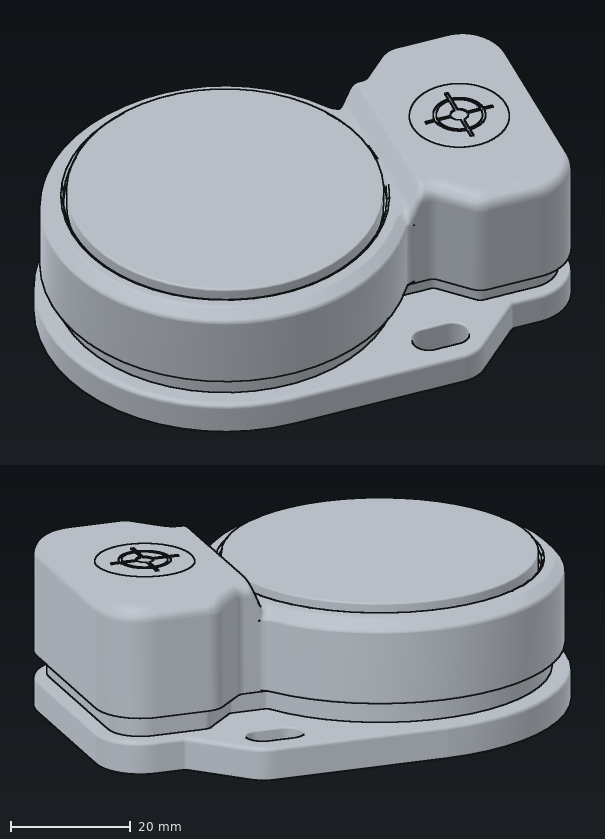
import cadquery as cq
import math


base_top = 6.1
drum_bottom = 10.0
drum_top = 25.0
lens_top = 26.5
block_top = 30.0

overall_length = 88.0
base_radius = 31.99
back_y = overall_length - base_radius
shoulder_corner_y = 33.0
shoulder_corner_radius = 6.0
shoulder_root_radius = 1.0

drum_radius = 31.0
drum_root_radius = 2.0
block_half_width = 22.0
block_back_radius = 8.0
waist_half_width = 16.0
waist_corner_y = 37.05
waist_corner_radius = 4.0
waist_root_radius = 2.0
half_slant = math.radians(45) / 2

slope_top_y = 29.3
slope_foot_y = 27.1

small_round = 0.4
edge_round = 1.0
drum_chamfer = 2.0
block_top_round = 3.0

neck_inset = 2.2
neck_root_radius = 1.0

lens_radius = 26.5
lens_gap = 0.5
insert_depth = 2.0
button_radius = 8.4
button_y = 42.0

mark_depth = 0.3
mark_hole_radius = 1.5
mark_ring_outer = 4.4
mark_ring_inner = 3.9
mark_arm_length = 6.0
mark_arm_width = 0.5

slot_x = 26.0
slot_y = 28.5
slot_width = 5.5
slot_length = 9.9

pick_margin = 0.04


def inside_box(x_range, y_range, z_range):
    """Selector for the edges or faces that lie wholly within the given ranges."""
    low, high = zip(x_range, y_range, z_range)
    return cq.selectors.BoxSelector(
        tuple(value - pick_margin for value in low),
        tuple(value + pick_margin for value in high),
        boundingbox=True,
    )


def round_corner_pair(solid, x, y, radius):
    """Round the vertical edges that stand at plan points (x, y) and (-x, y)."""
    for corner_x in (x, -x):
        corner = inside_box((corner_x, corner_x), (y, y), (0, block_top))
        solid = solid.edges("|Z").edges(corner).fillet(radius)
    return solid


def mirrored_prism(right_side, bottom, top):
    """Extrude the outline made of right-hand points and their mirror images."""
    left_side = [(-x, y) for x, y in reversed(right_side)]
    outline = cq.Workplane().workplane(offset=bottom).polyline(right_side + left_side).close()
    return outline.extrude(top - bottom)


def cylinder(radius, bottom, top, y=0):
    return cq.Workplane().workplane(offset=bottom).center(0, y).circle(radius).extrude(top - bottom)


def block_prism(inset, root_radius, bottom, top):
    """Waisted block with its walls moved in by `inset`; it reaches forward to the drum axis."""
    wide = block_half_width - inset
    narrow = waist_half_width - inset
    back = back_y - inset
    corner_y = waist_corner_y + inset * math.tan(half_slant)
    root_y = corner_y - (wide - narrow)
    right_side = [(narrow, 0), (narrow, root_y), (wide, corner_y), (wide, back)]
    block = mirrored_prism(right_side, bottom, top)
    block = round_corner_pair(block, narrow, root_y, root_radius)
    block = round_corner_pair(block, wide, corner_y, waist_corner_radius - inset)
    return round_corner_pair(block, wide, back, block_back_radius - inset)


def drum_prism(inset, root_radius, bottom, top):
    """Round drum with a stub that runs into the block, blended by a fillet on each side."""
    radius = drum_radius - inset
    narrow = waist_half_width - inset
    stub = mirrored_prism([(narrow, 0), (narrow, waist_corner_y)], bottom, top)
    drum = cylinder(radius, bottom, top).union(stub)
    meeting_y = math.sqrt(radius**2 - narrow**2)
    return round_corner_pair(drum, narrow, meeting_y, root_radius)




def cut_rounded_slot(plate, x):
    """Cut one slot through the plate and round its upper rim."""
    slot = cq.Workplane().center(x, slot_y).slot2D(slot_length, slot_width, 90).extrude(base_top)
    rim = inside_box(
        (x - slot_width / 2, x + slot_width / 2),
        (slot_y - slot_length / 2, slot_y + slot_length / 2),
        (base_top, base_top),
    )
    return plate.cut(slot).edges(rim).fillet(small_round)


def make_base():
    """Plate with a round front, slanted shoulders and a tail under the block."""
    shoulder_root_y = shoulder_corner_y + base_radius - block_half_width
    right_side = [
        (base_radius, 0),
        (base_radius, shoulder_corner_y),
        (block_half_width, shoulder_root_y),
        (block_half_width, back_y),
    ]
    plate = mirrored_prism(right_side, 0, base_top).union(cylinder(base_radius, 0, base_top))
    plate = round_corner_pair(plate, base_radius, shoulder_corner_y, shoulder_corner_radius)
    plate = round_corner_pair(plate, block_half_width, shoulder_root_y, shoulder_root_radius)
    plate = round_corner_pair(plate, block_half_width, back_y, block_back_radius)
    plate = plate.faces(">Z").edges().fillet(edge_round)
    plate = plate.faces("<Z").edges().fillet(small_round)
    for x in (-slot_x, slot_x):
        plate = cut_rounded_slot(plate, x)
    return plate




def make_neck():
    """Inset copy of the housing outline that carries the housing above the base."""
    block = block_prism(neck_inset, neck_root_radius, base_top, drum_bottom)
    return drum_prism(neck_inset, neck_root_radius, base_top, drum_bottom).union(block)




def make_drum():
    """Drum with a rounded lower edge and a chamfered upper edge whose two borders are rounded."""
    drum = drum_prism(0, drum_root_radius, drum_bottom, drum_top)
    drum = drum.faces(">Z").edges().chamfer(drum_chamfer)
    drum = drum.faces("<Z").edges().fillet(small_round)
    for level in (drum_top, drum_top - drum_chamfer):
        border = inside_box((-drum_radius, drum_radius), (-drum_radius, back_y), (level, level))
        drum = drum.edges(border).fillet(edge_round)
    return drum


def make_block():
    """Waisted block with a rounded top and a sloped front face."""
    block = block_prism(0, waist_root_radius, drum_bottom, block_top)
    block = block.faces(">Z").edges("not(<Y)").fillet(block_top_round)

    slope_run = (slope_top_y - slope_foot_y) / (block_top - drum_top)
    bottom_y = slope_top_y - slope_run * (block_top - drum_bottom)
    front = (
        cq.Workplane("YZ")
        .polyline([(0, drum_bottom), (bottom_y, drum_bottom), (slope_top_y, block_top), (0, block_top)])
        .close()
        .extrude(block_half_width, both=True)
    )
    slope = inside_box(
        (-block_half_width, block_half_width), (bottom_y, slope_top_y), (drum_bottom, block_top)
    )
    return block.cut(front).faces(slope).edges("not(<Z)").fillet(edge_round)


def round_slope_foot(housing):
    """Blend the foot of the sloped front face into the top of the drum."""
    foot = inside_box(
        (-waist_half_width, waist_half_width), (slope_foot_y, slope_foot_y), (drum_top, drum_top)
    )
    return housing.edges(foot).fillet(edge_round)


def cut_seat(housing, radius, y, top):
    """Sink a round seat into a level face of the housing and round its rim."""
    seat = cylinder(radius, top - insert_depth, block_top, y)
    rim = inside_box((-radius, radius), (y - radius, y + radius), (top, top))
    return housing.cut(seat).edges(rim).edges("%CIRCLE").fillet(small_round)


def make_housing():
    housing = make_drum().union(make_block())
    housing = round_slope_foot(housing)
    housing = cut_seat(housing, lens_radius + lens_gap, 0, drum_top)
    return cut_seat(housing, button_radius, button_y, block_top)




def make_insert(radius, y, bottom, top):
    """Round disc with a rounded upper edge."""
    return cylinder(radius, bottom, top, y).faces(">Z").edges().fillet(small_round)


def make_lens():
    return make_insert(lens_radius, 0, drum_top - insert_depth, lens_top)


def make_target_mark():
    """Shape of the mark: a ring and four arms around a round hole."""
    floor = block_top - mark_depth
    mark = cylinder(mark_ring_outer, floor, block_top, button_y)
    mark = mark.cut(cylinder(mark_ring_inner, floor, block_top, button_y))
    mark = mark.union(cylinder(mark_hole_radius, floor, block_top, button_y))
    arm_pair = (
        cq.Workplane()
        .workplane(offset=floor)
        .center(0, button_y)
        .rect(2 * mark_arm_length, mark_arm_width)
        .extrude(mark_depth)
    )
    crossing_pair = arm_pair.rotate((0, button_y, 0), (0, button_y, 1), 90)
    return mark.union(arm_pair).union(crossing_pair)


def make_button():
    button = make_insert(button_radius, button_y, block_top - insert_depth, block_top)
    return button.cut(make_target_mark())


base = make_base()
neck = make_neck()
housing = make_housing()
lens = make_lens()
button = make_button()

bodies = [base, neck, housing, lens, button]
result = cq.Compound.makeCompound([body.solids().val() for body in bodies])